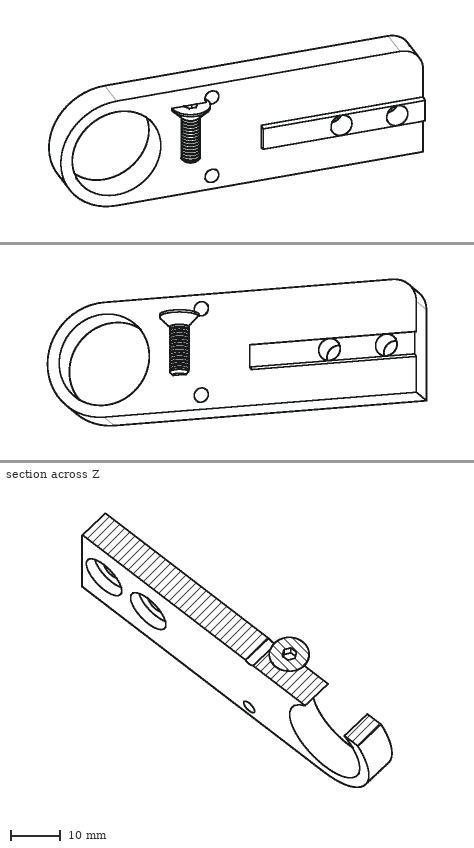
import cadquery as cq
import math

length = 78.0
height = 24.0
thickness = 7.0
nose_radius = height / 2
corner_radius = 5.0
bore_diameter = 19.0

cross_hole_diameter = 3.0
cross_hole_y = 32.5
cross_hole_spacing = 18.0

mount_hole_diameter = 4.5
counterbore_diameter = 9.6
counterbore_depth = 2.4
mount_z = 10.1
mount_spacing = 12.0
first_mount_y = length - 6.0
mount_hole_ys = [first_mount_y, first_mount_y - mount_spacing]

rail_length = 34.9
rail_height = 1.2
rail_base_width = 5.15
rail_tip_width = 4.7

screw_y = 27.9
screw_top_z = 20.1
screw_length = 12.55
head_diameter = 8.0
head_rim = 0.5
thread_diameter = 4.0
root_diameter = 3.1
thread_pitch = 0.7
groove_count = 13
tip_chamfer = 0.6
socket_across_flats = 2.5
socket_depth = 2.0

head_radius = head_diameter / 2
thread_radius = thread_diameter / 2
head_height = head_rim + head_radius - thread_radius


def plate_cylinder(y, z, diameter, depth):
    """Cylinder along X, starting at the -X face of the plate."""
    return cq.Workplane("YZ").center(y, z).circle(diameter / 2).extrude(depth)


def make_plate_blank():
    """Bar with a round nose at the -Y end and one rounded upper corner."""
    corner_shift = corner_radius * math.sqrt(0.5)
    return (
        cq.Workplane("YZ")
        .moveTo(nose_radius, 0)
        .lineTo(length, 0)
        .lineTo(length, height - corner_radius)
        .threePointArc(
            (length - corner_radius + corner_shift, height - corner_radius + corner_shift),
            (length - corner_radius, height),
        )
        .lineTo(nose_radius, height)
        .threePointArc((0, nose_radius), (nose_radius, 0))
        .close()
        .extrude(thickness)
    )


def make_rail():
    """Trapezoidal rail that ends flush with the +Y end of the plate."""
    base = rail_base_width / 2
    tip = rail_tip_width / 2
    return (
        cq.Workplane("XZ", origin=(thickness, length, mount_z))
        .polyline([(0, -base), (rail_height, -tip), (rail_height, tip), (0, base)])
        .close()
        .extrude(rail_length)
    )


def make_screw_envelope():
    """Screw without socket or thread grooves; also the shape of its recess."""
    tip_radius = thread_radius - tip_chamfer
    profile = [
        (0, 0),
        (head_radius, 0),
        (head_radius, -head_rim),
        (thread_radius, -head_height),
        (thread_radius, tip_chamfer - screw_length),
        (tip_radius, -screw_length),
        (0, -screw_length),
    ]
    return (
        cq.Workplane("XZ", origin=(thickness, screw_y, screw_top_z))
        .polyline(profile)
        .close()
        .revolve(360, (0, 0), (0, 1))
    )


def make_thread_groove(index):
    """V-shaped ring groove; the thread is a stack of these."""
    groove_z = -head_height - thread_pitch * (index + 0.5)
    half_width = thread_pitch * 0.4
    root_radius = root_diameter / 2
    return (
        cq.Workplane("XZ", origin=(thickness, screw_y, screw_top_z))
        .polyline([
            (thread_radius, groove_z - half_width),
            (root_radius, groove_z),
            (thread_radius, groove_z + half_width),
        ])
        .close()
        .revolve(360, (0, 0), (0, 1))
    )


def make_plate():
    plate = make_plate_blank().union(make_rail())
    plate = plate.cut(plate_cylinder(nose_radius, nose_radius, bore_diameter, thickness))
    for side in (-1, 1):
        cross_hole_z = height / 2 + side * cross_hole_spacing / 2
        plate = plate.cut(plate_cylinder(cross_hole_y, cross_hole_z, cross_hole_diameter, thickness))
    for y in mount_hole_ys:
        plate = plate.cut(plate_cylinder(y, mount_z, mount_hole_diameter, thickness + rail_height))
        plate = plate.cut(plate_cylinder(y, mount_z, counterbore_diameter, counterbore_depth))
    return plate.cut(make_screw_envelope())


def make_screw():
    screw = make_screw_envelope()
    for index in range(groove_count):
        screw = screw.cut(make_thread_groove(index))
    socket_corner_diameter = socket_across_flats / math.cos(math.pi / 6)
    socket = (
        cq.Workplane("XY", origin=(thickness, screw_y, screw_top_z))
        .transformed(rotate=(0, 0, 90))
        .polygon(6, socket_corner_diameter)
        .extrude(-socket_depth)
    )
    return screw.cut(socket)


plate = make_plate()
screw = make_screw()
result = cq.Compound.makeCompound([plate.solids().val(), screw.solids().val()])